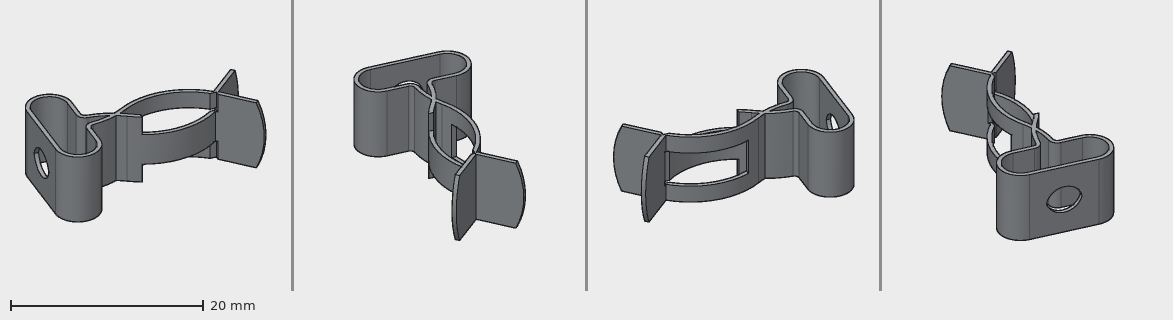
import cadquery as cq
import math

length = 23.7
width = 12.8
height = 8.0
thickness = 0.5
half = thickness / 2

loop_depth = 5.0
loop_radius = loop_depth / 2
loop_flat = width - 2 * loop_radius
loop_hole_height = 3.15
loop_hole_width = 4.0

jaw_radius = 8.35
jaw_center = (6.38, 13.98)
jaw_start = 213.0
jaw_end = 140.0
sweep_radius = 8.53
corner_radius = 1.5 * thickness
flange_root_y = 19.55
tip_sag_y = 0.65

window_bottom = 10.71
window_top = 19.67
window_height = 4.08
tongue_height = 3.65


def polar(center, radius, angle):
    a = math.radians(angle)
    return (center[0] + radius * math.cos(a), center[1] + radius * math.sin(a))


def curved_strip(center, radius, start, end):
    """Full-height strip following an arc of the given centre-line radius."""
    outer = radius + half
    inner = radius - half
    middle = (start + end) / 2
    return (
        cq.Workplane("XY")
        .moveTo(*polar(center, outer, start))
        .threePointArc(polar(center, outer, middle), polar(center, outer, end))
        .lineTo(*polar(center, inner, end))
        .threePointArc(polar(center, inner, middle), polar(center, inner, start))
        .close()
        .extrude(height / 2, both=True)
    )


def block(x_min, x_max, y_min, y_max, z_size):
    """Box centred on the mid-height plane."""
    return (
        cq.Workplane("XY")
        .box(x_max - x_min, y_max - y_min, z_size)
        .translate(((x_min + x_max) / 2, (y_min + y_max) / 2, 0))
    )


sweep_center = polar(jaw_center, jaw_radius + sweep_radius, jaw_start)
corner_y = loop_depth - half + corner_radius
sweep_end = math.degrees(
    math.asin((corner_y - sweep_center[1]) / (sweep_radius + corner_radius))
)
corner_center = polar(sweep_center, sweep_radius + corner_radius, sweep_end)


def make_flange():
    """Flange flaring out at 45 degrees from the mid-plane, with a rounded tip."""
    slant = math.sqrt(2)
    tip_y = length - half / slant
    flange_length = (tip_y - flange_root_y) * slant
    shoulder = flange_length - tip_sag_y * slant
    plane = cq.Plane(
        origin=(0, flange_root_y, 0), xDir=(-1, 1, 0), normal=(1, 1, 0)
    )
    return (
        cq.Workplane(plane)
        .moveTo(-thickness, -height / 2)
        .lineTo(shoulder, -height / 2)
        .threePointArc((flange_length, 0), (shoulder, height / 2))
        .lineTo(-thickness, height / 2)
        .close()
        .extrude(half, both=True)
    )


def make_left_jaw():
    """Jaw arc and flange, ending on the mid-plane where the two arms meet."""
    jaw = curved_strip(jaw_center, jaw_radius, jaw_start, jaw_end).union(make_flange())
    return jaw.intersect(block(-width, 0, 0, length, height))


def make_leg():
    """Left jaw's lower leg, crossing the mid-plane to the right side of the loop."""
    sweep = curved_strip(sweep_center, sweep_radius, jaw_start - 180, sweep_end)
    corner = curved_strip(corner_center, corner_radius, 180 + sweep_end, 270)
    shoulder = block(
        corner_center[0], loop_flat / 2, loop_depth - thickness, loop_depth, height
    )
    return sweep.union(corner).union(shoulder)


def make_loop_end():
    return curved_strip((loop_flat / 2, loop_radius), loop_radius - half, -90, 90)


def make_loop_hole():
    """Pointed oval hole through the front wall."""
    half_width = loop_hole_width / 2
    half_height = loop_hole_height / 2
    return (
        cq.Workplane("XZ")
        .moveTo(-half_width, 0)
        .threePointArc((0, half_height), (half_width, 0))
        .threePointArc((0, -half_height), (-half_width, 0))
        .close()
        .extrude(-thickness)
    )


left_jaw = make_left_jaw()
right_jaw = left_jaw.mirror("YZ")

left_jaw = left_jaw.cut(block(-width, 0, window_bottom, window_top, window_height))
beside_tongue = block(0, width, window_bottom, window_top, height).cut(
    block(0, width, window_bottom, window_top, tongue_height)
)
right_jaw = right_jaw.cut(beside_tongue)

front_wall = block(-loop_flat / 2, loop_flat / 2, 0, thickness, height)
result = front_wall.cut(make_loop_hole())
for side in (make_loop_end(), make_leg()):
    result = result.union(side).union(side.mirror("YZ"))
result = result.union(left_jaw).union(right_jaw)